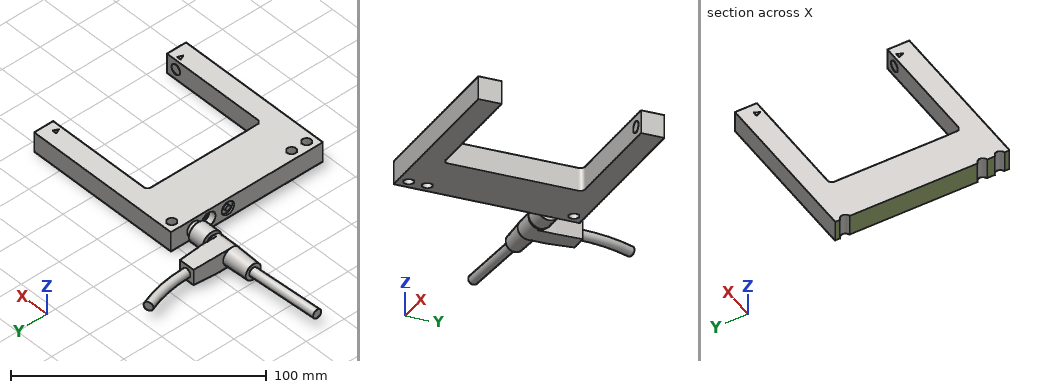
import cadquery as cq


overall_length = 150.2
housing_side = 80.0
thickness = 10.0
arm_width = thickness
opening_depth = 55.0
opening_fillet = 2.0
top_face = thickness / 2

mount_diameter = 4.4
mount_inset = 4.5
mount_pair_far = 12.5
mount_places = [
    (mount_inset, housing_side - mount_inset),
    (mount_inset, mount_inset),
    (mount_inset, mount_pair_far),
]

adjuster_recess = (60.1, 7.0, 3.5, 2.5, 1.0)
lamp_recess = (50.0, 6.5, 1.0, 2.5, 1.0)

optical_inset = 5.1
optical_x = housing_side - optical_inset
lens_diameter = 5.0
mark_depth = 0.2
arrow_width = 2.1
arrow_length = 2.4
arrow_bases = [housing_side - 6.2, arm_width - 1.7]

plug_inset = 12.0
plug_y = housing_side - plug_inset
stub_diameter = 7.0
nut_diameter = 10.0
neck_diameter = 6.0
plug_diameter = 9.0
nut_front = -2.7
nut_rear = -10.7
plug_front = -12.0
plug_rear = -22.2
cone_rear = -34.8
cone_end_diameter = 8.0

branch_x = plug_rear + plug_diameter / 2
branch_straight = 8.0
branch_taper = 11.7
branch_end_width = 8.0

cable_diameter = 4.4
straight_cable_end_x = housing_side - overall_length
straight_cable_drop = 1.8
bent_cable_radius = 64.1
bent_cable_angle = 22.5


def x_rod(diameter, start, end, y=plug_y):
    """Round bar along X between two stations, at mid-thickness."""
    return cq.Workplane("YZ", origin=(start, y, 0)).circle(diameter / 2).extrude(end - start)


def make_frame():
    """Square plate with a rounded opening between its two arms."""
    plate = cq.Workplane("XY", origin=(0, 0, -top_face)).rect(housing_side, housing_side, centered=False)
    plate = plate.extrude(thickness)
    opening = (
        cq.Workplane("XY", origin=(housing_side - opening_depth, arm_width, -top_face))
        .rect(opening_depth, housing_side - 2 * arm_width, centered=False)
        .extrude(thickness)
        .edges("|Z and <X")
        .fillet(opening_fillet)
    )
    return plate.cut(opening)


def make_mounting_holes():
    return (
        cq.Workplane("XY", origin=(0, 0, -top_face))
        .pushPoints(mount_places)
        .circle(mount_diameter / 2)
        .extrude(thickness)
    )


def make_rear_recess(y, diameter, depth, pin_diameter, pin_height):
    """Ring-shaped cutter that leaves a pin standing on the recess floor."""
    recess = x_rod(diameter, 0, depth, y)
    return recess.cut(x_rod(pin_diameter, depth - pin_height, depth, y))


def make_lens_recesses():
    """Shallow round windows facing each other on the inner sides of the arms."""
    span = housing_side - 2 * arm_width + 2 * mark_depth
    beam = cq.Workplane("XZ", origin=(optical_x, arm_width - mark_depth, 0))
    return beam.circle(lens_diameter / 2).extrude(-span)


def make_arrow(base_y):
    """Engraved triangle on the top face, pointing toward -Y on the optical axis."""
    return (
        cq.Workplane("XY", origin=(optical_x, base_y, top_face))
        .polyline([(-arrow_width / 2, 0), (arrow_width / 2, 0), (0, -arrow_length)])
        .close()
        .extrude(-mark_depth)
    )


def make_housing():
    body = make_frame().cut(make_mounting_holes()).cut(make_lens_recesses())
    for recess in (adjuster_recess, lamp_recess):
        body = body.cut(make_rear_recess(*recess))
    for base_y in arrow_bases:
        body = body.cut(make_arrow(base_y))
    return body.union(x_rod(stub_diameter, nut_front, 0))


def make_coupling_nut():
    return x_rod(nut_diameter, nut_rear, nut_front)


def make_angled_plug():
    """Round plug with a square side branch that tapers toward its bent cable."""
    taper_start = plug_y + branch_straight
    branch_end = taper_start + branch_taper
    barrel = x_rod(plug_diameter, plug_rear, plug_front)
    neck = x_rod(neck_diameter, plug_front, nut_rear)
    block = (
        cq.Workplane("XZ", origin=(branch_x, plug_y, 0))
        .rect(plug_diameter, plug_diameter)
        .extrude(-branch_straight)
    )
    taper = (
        cq.Workplane("XZ", origin=(branch_x, taper_start, 0))
        .rect(plug_diameter, plug_diameter)
        .workplane(offset=-branch_taper)
        .rect(branch_end_width, branch_end_width)
        .loft(ruled=True)
    )
    cable = (
        cq.Workplane("XZ", origin=(branch_x, branch_end, 0))
        .circle(cable_diameter / 2)
        .revolve(bent_cable_angle, (-bent_cable_radius, 0, 0), (-bent_cable_radius, 1, 0))
    )
    return barrel.union(neck).union(block).union(taper).union(cable)


def make_straight_plug():
    """Conical strain relief with a cable that slants toward -Y, its end face square to X."""
    cone = (
        cq.Workplane("YZ", origin=(plug_rear, plug_y, 0))
        .circle(plug_diameter / 2)
        .workplane(offset=cone_rear - plug_rear)
        .circle(cone_end_diameter / 2)
        .loft(ruled=True)
    )
    outline = cq.Workplane("YZ", origin=(cone_rear, plug_y, 0)).circle(cable_diameter / 2).wires().val()
    slant = cq.Vector(straight_cable_end_x - cone_rear, -straight_cable_drop, 0)
    cable = cq.Solid.extrudeLinear(outline, [], slant)
    return cone.union(cq.Workplane(cable))


housing = make_housing()
coupling_nut = make_coupling_nut()
angled_plug = make_angled_plug()
straight_plug = make_straight_plug()

result = cq.Compound.makeCompound(
    [housing.val(), coupling_nut.val(), angled_plug.val(), straight_plug.val()]
)